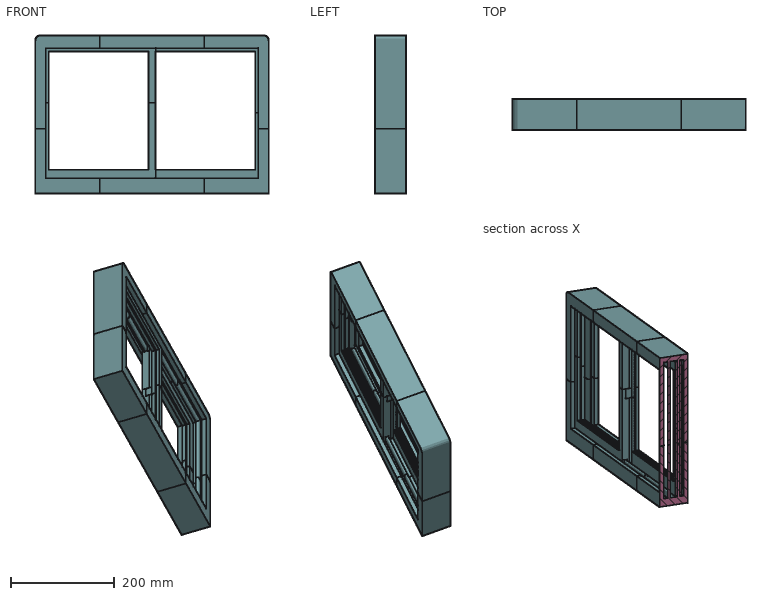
import cadquery as cq

WIDTH = 450.0
HEIGHT = 305.0
DEPTH = 60.0
CORNER_RADIUS = 10.0
SIDE_BORDER = 20.5
TOP_BORDER = 24.8
BOTTOM_BORDER = 30.0
LIP_THICKNESS = 9.5
CHANNEL_DEPTH = 13.5
END_SEAM_OFFSET = 124.5
SIDE_SEAM_HEIGHT = 125.0

SASH_THICKNESS = 15.5
SASH_LIP_GAP = 2.5
SASH_EDGE_GAP = 1.0
STILE_REVEAL = 5.5
TOP_REVEAL = 6.8
BOTTOM_REVEAL = 16.0
MEETING_STILE_WIDTH = 14.5
LAP_TOP = 175.5
LAP_BOTTOM = 155.5
GLASS_SLOT_WIDTH = 2.0
GLASS_SLOT_DEPTH = 2.2
SILL_GROOVE_WIDTH = 8.0
SILL_GROOVE_DEPTH = 4.0
FIN_WIDTH = 3.0
FIN_SETBACK = 0.22
TONGUE_SETBACK = 0.5

RAIL_WIDTH = 6.5
RAIL_CLEARANCE = 0.5

CENTRE_X = WIDTH / 2
CENTRE_Y = DEPTH / 2
RAIL_RADIUS = RAIL_WIDTH / 2
SASH_FRONT = LIP_THICKNESS + SASH_LIP_GAP
SASH_BACK = SASH_FRONT + SASH_THICKNESS
SASH_MIDDLE = SASH_FRONT + SASH_THICKNESS / 2
SASH_SPACING = DEPTH - 2 * SASH_BACK
OPENING = (SIDE_BORDER, WIDTH - SIDE_BORDER, BOTTOM_BORDER, HEIGHT - TOP_BORDER)


def grow(limits, amount):
    """Move all four sides of a (left, right, bottom, top) rectangle outward."""
    left, right, bottom, top = limits
    return (left - amount, right + amount, bottom - amount, top + amount)


def slab(limits, y_start, y_end):
    """Box filling a (left, right, bottom, top) rectangle from y_start to y_end."""
    left, right, bottom, top = limits
    size = (right - left, y_end - y_start, top - bottom)
    return cq.Workplane("XY").box(*size, centered=False).translate((left, y_start, bottom))


def guide_rail(y_centre):
    """Ring standing on the channel floor, with a half-round crest facing the opening."""
    left, right, bottom, top = grow(OPENING, RAIL_RADIUS)
    ring = slab(grow(OPENING, CHANNEL_DEPTH), y_centre - RAIL_RADIUS, y_centre + RAIL_RADIUS)
    ring = ring.cut(slab((left, right, bottom, top), 0, DEPTH))
    crest_profile = cq.Workplane("YZ", origin=(CENTRE_X, 0, 0)).center(y_centre, bottom).circle(RAIL_RADIUS)
    crest_path = cq.Workplane("XZ", origin=(0, y_centre, 0)).moveTo(CENTRE_X, bottom)
    crest_path = crest_path.lineTo(right, bottom).lineTo(right, top).lineTo(left, top)
    crest_path = crest_path.lineTo(left, bottom).close()
    crest = crest_profile.sweep(crest_path, transition="right")
    return ring.union(crest)


def whole_frame():
    frame = slab((0, WIDTH, 0, HEIGHT), 0, DEPTH).edges("|Y and >Z").fillet(CORNER_RADIUS)
    frame = frame.cut(slab(OPENING, 0, DEPTH))
    channel = slab(grow(OPENING, CHANNEL_DEPTH), LIP_THICKNESS, DEPTH - LIP_THICKNESS)
    frame = frame.cut(channel)
    for y_centre in (SASH_MIDDLE, DEPTH - SASH_MIDDLE):
        frame = frame.union(guide_rail(y_centre))
    return frame


def frame_pieces():
    """Split the frame at its seams: two middle members and four corners."""
    frame = whole_frame()
    left_seam = END_SEAM_OFFSET
    right_seam = WIDTH - END_SEAM_OFFSET
    columns = ((0, left_seam), (right_seam, WIDTH))
    rows = ((0, SIDE_SEAM_HEIGHT), (SIDE_SEAM_HEIGHT, HEIGHT))
    regions = []
    for bottom, top in rows:
        regions.append((left_seam, right_seam, bottom, top))
        for left, right in columns:
            regions.append((left, right, bottom, top))
    return [frame.intersect(slab(region, 0, DEPTH)).val() for region in regions]


SASH_OUTER_GROWTH = CHANNEL_DEPTH - SASH_EDGE_GAP
SASH_RIGHT = CENTRE_X + MEETING_STILE_WIDTH / 2
SASH_OUTLINE = (
    SIDE_BORDER - SASH_OUTER_GROWTH,
    SASH_RIGHT,
    BOTTOM_BORDER - SASH_OUTER_GROWTH,
    HEIGHT - TOP_BORDER + SASH_OUTER_GROWTH,
)
GLASS_OPENING = (
    SIDE_BORDER + STILE_REVEAL,
    SASH_RIGHT - MEETING_STILE_WIDTH,
    BOTTOM_BORDER + BOTTOM_REVEAL,
    HEIGHT - TOP_BORDER - TOP_REVEAL,
)


def centred_slab(limits, thickness):
    """Slab centred on the middle plane of the front sash."""
    return slab(limits, SASH_MIDDLE - thickness / 2, SASH_MIDDLE + thickness / 2)


def sash_profile():
    """Front sash ring with its rail groove, sill groove and glass slot."""
    sash = centred_slab(SASH_OUTLINE, SASH_THICKNESS).cut(centred_slab(GLASS_OPENING, SASH_THICKNESS))

    groove_width = RAIL_WIDTH + 2 * RAIL_CLEARANCE
    rail_space = centred_slab(grow(OPENING, CHANNEL_DEPTH), groove_width)
    sash = sash.cut(rail_space.cut(centred_slab(grow(OPENING, -RAIL_CLEARANCE), groove_width)))

    left, right, bottom, top = GLASS_OPENING
    groove_floor = bottom - SILL_GROOVE_DEPTH
    sash = sash.cut(centred_slab((left, right, groove_floor, bottom), SILL_GROOVE_WIDTH))
    slot = grow((left, right, groove_floor, top), GLASS_SLOT_DEPTH)
    return sash.cut(centred_slab(slot, GLASS_SLOT_WIDTH))


def interlock_fin():
    """Fin along the meeting stile, reaching back to the other sash."""
    edge = SASH_RIGHT - FIN_SETBACK
    limits = (edge - FIN_WIDTH, edge, SASH_OUTLINE[2], SASH_OUTLINE[3])
    return slab(limits, SASH_BACK, SASH_BACK + SASH_SPACING)


def front_sash_halves():
    """Upper and lower halves meeting in a lap joint, the upper tongue at the back."""
    sash = sash_profile().union(interlock_fin())
    left, right, bottom, top = SASH_OUTLINE
    fin_tip = SASH_BACK + SASH_SPACING
    upper_space = slab((left, right, LAP_TOP, top), SASH_FRONT, fin_tip)
    upper_space = upper_space.union(slab((left, right, LAP_BOTTOM, LAP_TOP), SASH_MIDDLE, fin_tip))
    upper = sash.intersect(upper_space)
    lower = sash.cut(upper_space)
    relief = slab((right - TONGUE_SETBACK, right, LAP_BOTTOM, LAP_TOP), SASH_MIDDLE, fin_tip)
    return [upper.cut(relief), lower]


front_halves = front_sash_halves()
rear_halves = [
    half.rotate((CENTRE_X, CENTRE_Y, 0), (CENTRE_X, CENTRE_Y, 1), 180) for half in front_halves
]
sash_halves = [half.val() for half in front_halves + rear_halves]

result = cq.Compound.makeCompound([*frame_pieces(), *sash_halves])